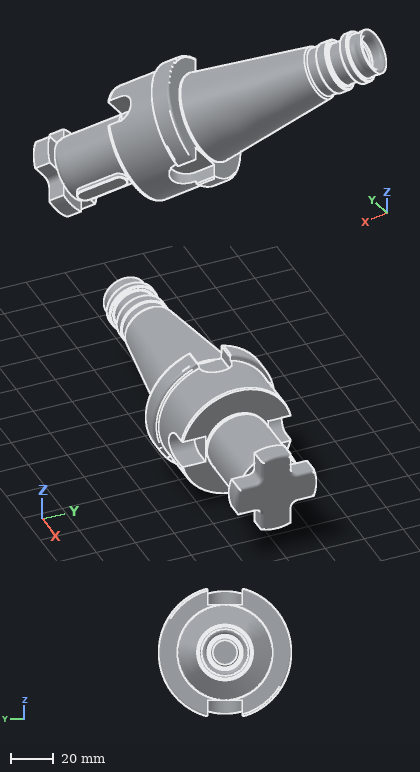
import cadquery as cq
import math

total_length = 178.4

nose_radius = 11.0
nose_groove_start = 2.0
nose_groove_floor_start = 3.5
nose_groove_floor_end = 4.1
nose_groove_end = 5.7
nose_groove_depth = 0.4
front_collar_start = 6.8
front_collar_end = 11.0
collar_radius = 12.7
collar_chamfer = 0.5
neck_radius = 10.5
neck_corner = 0.5
rear_collar_start = 18.5
rear_collar_end = 24.5
land_radius = 12.1
land_end = 29.5

taper_start = 30.3
taper_end = 93.8
taper_large_radius = 22.5
taper_slope = 7 / 48
taper_relief_start = 94.4
taper_relief_depth = 0.4
taper_small_radius = taper_large_radius - taper_slope * (taper_end - taper_start)

flange_diameter = 62.6
flange_radius = flange_diameter / 2
flange_start = 94.9
flange_end = 105.0
flange_front_rounding = 1.0
flange_back_rounding = 1.5
body_start = 105.6
body_end = 131.3
body_radius = 28.9
body_chamfer_length = 1.0
body_chamfer_depth = 0.4

flange_slot_width = 16.0
flange_slot_chamfer = 0.7
flange_slot_floor = 22.5
flange_slot_end = 113.5

driving_slot_width = 14.3
driving_slot_floor = 16.0
driving_slot_start = 117.5

spigot_radius = 16.0
spigot_relief_radius = 15.7
spigot_relief_end = 132.2
spigot_full_start = 133.3
spigot_lead_start = 164.0
spigot_lead_end = 167.7
spigot_lead_radius = 15.9
spigot_end = 169.5
spigot_end_radius = 15.3

mouth_radius = 10.3
mouth_end = 2.1
counterbore_radius = 8.4
counterbore_end = 5.9
countersink_radius = 7.8
countersink_end = 6.8
entry_radius = 7.3
entry_end = 9.3

key_start = 139.2
key_end = 166.3
key_width = 7.8
key_bottom = 18.0
key_height = 7.0
key_chamfer = 0.4

head_radius = 20.9
arm_width = 15.3
arm_corner_radius = 3.2
head_edge_radius = 1.6
shank_radius = 7.0
shank_tip_radius = 5.7
shank_start = 124.9


def revolve_about_x(profile):
    """Turn a closed XY profile about the X axis."""
    return profile.close().revolve(360, (0, 0, 0), (1, 0, 0))


def slot_cutter(width, round_end, open_end, floor):
    """Vertical slot above z = floor, with a half-round end at round_end, open at open_end."""
    radius = width / 2
    side = math.copysign(radius, round_end - open_end)
    centre = round_end - side
    return (
        cq.Workplane("XY", origin=(0, 0, floor))
        .moveTo(open_end, -radius)
        .lineTo(centre, -radius)
        .threePointArc((round_end, 0), (centre, radius))
        .lineTo(open_end, radius)
        .close()
        .extrude(flange_radius)
    )


def slot_edge_bevel():
    """Wedge that bevels the two outer edges of the flange slot at 45 degrees."""
    slot_half_width = flange_slot_width / 2
    bevel_half_width = slot_half_width + flange_slot_chamfer
    bevel_top = math.sqrt(flange_radius**2 - bevel_half_width**2)
    return (
        cq.Workplane("YZ", origin=(flange_start, 0, 0))
        .moveTo(-bevel_half_width, bevel_top)
        .lineTo(-slot_half_width, bevel_top - flange_slot_chamfer)
        .lineTo(slot_half_width, bevel_top - flange_slot_chamfer)
        .lineTo(bevel_half_width, bevel_top)
        .lineTo(bevel_half_width, flange_radius)
        .lineTo(-bevel_half_width, flange_radius)
        .close()
        .extrude(flange_end - flange_start)
    )


def turned_blank():
    """Solid of revolution that carries nose, taper, flange, body and spigot."""
    relief_radius = taper_large_radius - taper_relief_depth
    profile = (
        cq.Workplane("XY")
        .moveTo(0, 0)
        .lineTo(0, nose_radius)
        .lineTo(nose_groove_start, nose_radius)
        .lineTo(nose_groove_floor_start, nose_radius - nose_groove_depth)
        .lineTo(nose_groove_floor_end, nose_radius - nose_groove_depth)
        .lineTo(nose_groove_end, nose_radius)
        .lineTo(front_collar_start, nose_radius)
        .lineTo(front_collar_start, collar_radius - collar_chamfer)
        .lineTo(front_collar_start + collar_chamfer, collar_radius)
        .lineTo(front_collar_end - collar_chamfer, collar_radius)
        .lineTo(front_collar_end, collar_radius - collar_chamfer)
        .lineTo(front_collar_end, neck_radius + neck_corner)
        .lineTo(front_collar_end + neck_corner, neck_radius)
        .lineTo(rear_collar_start - neck_corner, neck_radius)
        .lineTo(rear_collar_start, neck_radius + neck_corner)
        .lineTo(rear_collar_start, collar_radius - collar_chamfer)
        .lineTo(rear_collar_start + collar_chamfer, collar_radius)
        .lineTo(rear_collar_end - collar_chamfer, collar_radius)
        .lineTo(rear_collar_end, land_radius)
        .lineTo(land_end, land_radius)
        .lineTo(taper_start, taper_small_radius)
        .lineTo(taper_end, taper_large_radius)
        .lineTo(taper_relief_start, relief_radius)
        .lineTo(flange_start, relief_radius)
        .lineTo(flange_start, flange_radius - flange_front_rounding)
        .radiusArc((flange_start + flange_front_rounding, flange_radius), flange_front_rounding)
        .lineTo(flange_end - flange_back_rounding, flange_radius)
        .radiusArc((flange_end, flange_radius - flange_back_rounding), flange_back_rounding)
        .lineTo(body_start, body_radius)
        .lineTo(body_end - body_chamfer_length, body_radius)
        .lineTo(body_end, body_radius - body_chamfer_depth)
        .lineTo(body_end, spigot_relief_radius)
        .lineTo(spigot_relief_end, spigot_relief_radius)
        .lineTo(spigot_full_start, spigot_radius)
        .lineTo(spigot_lead_start, spigot_radius)
        .lineTo(spigot_lead_end, spigot_lead_radius)
        .lineTo(spigot_end, spigot_end_radius)
        .lineTo(spigot_end, 0)
    )
    return revolve_about_x(profile)


def through_bore():
    """Rounded mouth and stepped entry in the nose, then a bore of the shank size to the far end."""
    arc_middle = 1 - math.sqrt(0.5)
    mouth_depth_at_middle = mouth_end * arc_middle
    mouth_radius_at_middle = counterbore_radius + (mouth_radius - counterbore_radius) * arc_middle
    profile = (
        cq.Workplane("XY")
        .moveTo(0, 0)
        .lineTo(0, mouth_radius)
        .threePointArc((mouth_depth_at_middle, mouth_radius_at_middle), (mouth_end, counterbore_radius))
        .lineTo(counterbore_end, counterbore_radius)
        .lineTo(counterbore_end, countersink_radius)
        .lineTo(countersink_end, entry_radius)
        .lineTo(entry_end, entry_radius)
        .lineTo(entry_end, shank_radius)
        .lineTo(spigot_end, shank_radius)
        .lineTo(spigot_end, 0)
    )
    return revolve_about_x(profile)


def make_key():
    """Round-ended key lying along X at the bottom of the spigot."""
    length = key_end - key_start
    return (
        cq.Workplane("XY", origin=((key_start + key_end) / 2, 0, -key_bottom))
        .slot2D(length, key_width)
        .extrude(key_height)
        .faces("<Z")
        .chamfer(key_chamfer)
    )


def make_holder(key):
    """Taper holder with flange slots, driving slots, bore and key seat."""
    holder = turned_blank().cut(through_bore())
    flange_slot = slot_cutter(flange_slot_width, flange_slot_end, flange_start, flange_slot_floor)
    edge_bevel = slot_edge_bevel()
    driving_slot = slot_cutter(driving_slot_width, driving_slot_start, body_end, driving_slot_floor)
    for angle in (0, 180):
        for cutter in (flange_slot, edge_bevel):
            holder = holder.cut(cutter.rotate((0, 0, 0), (1, 0, 0), angle))
    for angle in (90, 270):
        holder = holder.cut(driving_slot.rotate((0, 0, 0), (1, 0, 0), angle))
    return holder.cut(key)


def make_screw():
    """Clamping screw: four-armed head against the spigot, shank in the bore."""
    head_thickness = total_length - spigot_end
    head_plane = cq.Workplane("YZ", origin=(spigot_end, 0, 0))
    arm = head_plane.rect(arm_width, 2 * head_radius).extrude(head_thickness)
    cross = arm.union(arm.rotate((0, 0, 0), (1, 0, 0), 90))
    inner_corner = arm_width / 2
    for y in (-inner_corner, inner_corner):
        for z in (-inner_corner, inner_corner):
            corner_edge = cq.selectors.NearestToPointSelector((spigot_end + head_thickness / 2, y, z))
            cross = cross.edges("|X").edges(corner_edge).fillet(arm_corner_radius)
    head = cross.intersect(head_plane.circle(head_radius).extrude(head_thickness))
    head = head.faces(">X").edges().fillet(head_edge_radius)
    tip_chamfer = shank_radius - shank_tip_radius
    shank = (
        cq.Workplane("YZ", origin=(shank_start, 0, 0))
        .circle(shank_radius)
        .extrude(spigot_end - shank_start)
        .faces("<X")
        .chamfer(tip_chamfer)
    )
    return head.union(shank)


key = make_key()
holder = make_holder(key)
screw = make_screw()

result = cq.Compound.makeCompound([holder.val(), key.val(), screw.val()])